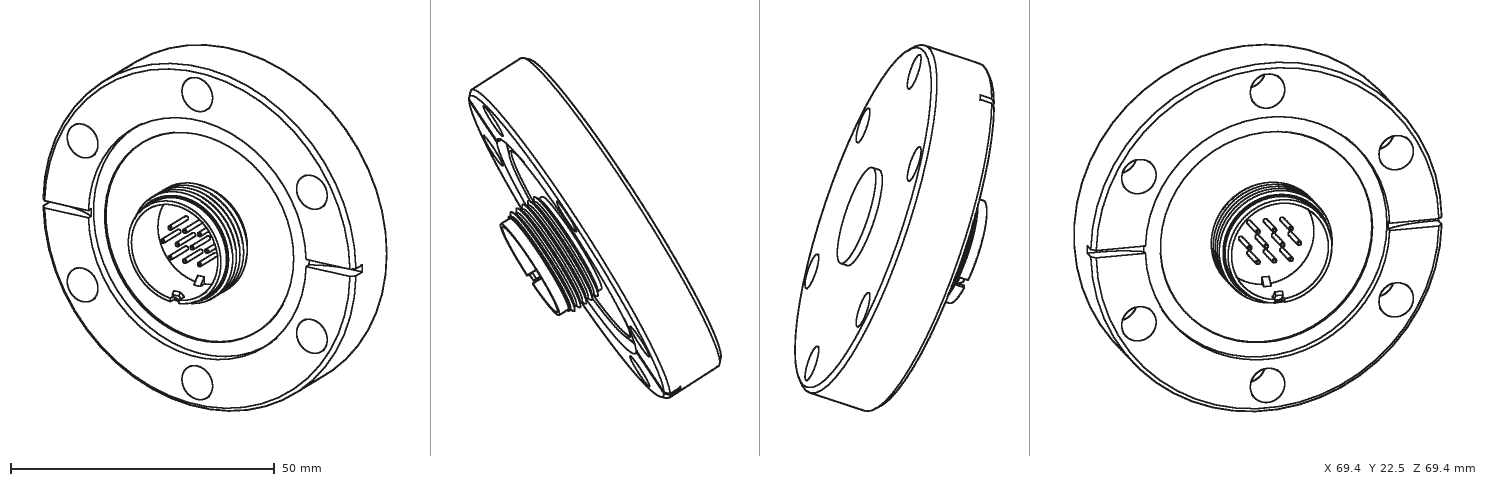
import cadquery as cq
import math

flange_radius = 34.7
flange_thickness = 12.9
edge_chamfer = 0.8

boss_radius = 9.6
boss_height = 1.3

recess_radius = 24.1
knife_radius = 20.95
knife_depth = 0.7
knife_angle = 20.0
center_depth = 1.2

bolt_count = 6
bolt_circle_radius = 29.3
bolt_hole_radius = 3.4

groove_width = 1.45
groove_depth = 3.2
groove_flat_length = 2.65
groove_inner_depth = 1.05
groove_overrun = 0.2

shell_length = 8.25
shell_radius = 10.25
sleeve_radius = 10.4
sleeve_length = 6.25
lip_radius = 10.6
lip_width = 0.2
bore_radius = 9.6
bore_depth = 9.65

ring_count = 5
ring_pitch = 1.3
ring_first = 0.15
ring_tip_radius = 11.15
ring_base_width = 0.8

pin_radius = 0.4
pin_length = 6.1
pin_pitch = 3.25
pin_row_spacing = 3.05
pins_per_row = (3, 4, 3)
pin_tip_chamfer = 0.15

key_width = 1.45
ramp_size = 1.45
tab_lean = 45.0
tab_length = 2.8
tab_thickness = 0.8
tab_tip_y = -7.9
tab_tip_z = -8.9
notch_width = 1.9
notch_length = 1.95


def revolve_profile(points):
    """Turn a closed outline of (radius, y) points about the Y axis."""
    return cq.Workplane("XY").polyline(points).close().revolve(360, (0, 0), (0, 1))


def cylinder(radius, y_start, y_end):
    """Cylinder on the Y axis between two Y positions."""
    return cq.Workplane("XZ", origin=(0, y_start, 0)).circle(radius).extrude(y_start - y_end)


def make_flange():
    """Flange disc with chamfered rims, rear boss and the recessed knife edge."""
    root_depth = knife_depth + (recess_radius - knife_radius) * math.tan(math.radians(knife_angle))
    chamfer_radius = flange_radius - edge_chamfer
    back = flange_thickness
    return revolve_profile([
        (0, center_depth),
        (knife_radius, center_depth),
        (knife_radius, knife_depth),
        (recess_radius, root_depth),
        (recess_radius, 0),
        (chamfer_radius, 0),
        (flange_radius, edge_chamfer),
        (flange_radius, back - edge_chamfer),
        (chamfer_radius, back),
        (boss_radius, back),
        (boss_radius, back + boss_height),
        (0, back + boss_height),
    ])


def make_bolt_holes():
    """Evenly spaced through holes, the first at the top of the flange."""
    holes = cq.Workplane("XZ").polarArray(bolt_circle_radius, 90, 360, bolt_count)
    return holes.circle(bolt_hole_radius).extrude(-flange_thickness)


def make_groove():
    """Leak-check groove on the +X side: a flat floor that curves up toward the recess."""
    flat_end = flange_radius - groove_flat_length
    inner_end = recess_radius - groove_overrun
    run = flat_end - recess_radius
    rise = groove_depth - groove_inner_depth
    arc_radius = (run**2 + rise**2) / (2 * rise)
    half_angle = math.atan2(rise, run)
    arc_middle = (
        flat_end - arc_radius * math.sin(half_angle),
        groove_depth - arc_radius * (1 - math.cos(half_angle)),
    )
    outline = (
        cq.Workplane("XY")
        .moveTo(inner_end, 0)
        .lineTo(flange_radius, 0)
        .lineTo(flange_radius, groove_depth)
        .lineTo(flat_end, groove_depth)
        .threePointArc(arc_middle, (recess_radius, groove_inner_depth))
        .lineTo(inner_end, groove_inner_depth)
        .close()
    )
    return outline.extrude(groove_width / 2, both=True)


def make_shell():
    """Solid connector shell with sleeve, lip and thread rings, before it is bored."""
    shell = cylinder(shell_radius, center_depth, -shell_length)
    shell = shell.union(cylinder(sleeve_radius, center_depth, -sleeve_length))
    shell = shell.union(cylinder(lip_radius, lip_width - sleeve_length, -sleeve_length))
    half_base = ring_base_width / 2
    for index in range(ring_count):
        y = -(ring_first + index * ring_pitch)
        ring = revolve_profile([
            (bore_radius, y + half_base),
            (sleeve_radius, y + half_base),
            (ring_tip_radius, y),
            (sleeve_radius, y - half_base),
            (bore_radius, y - half_base),
        ])
        shell = shell.union(ring)
    return shell


def make_pins(floor):
    """Rows of chamfered contact pins standing on the bore floor."""
    pin = cylinder(pin_radius, floor, floor - pin_length).faces("<Y").chamfer(pin_tip_chamfer)
    pins = cq.Workplane("XY")
    middle_row = (len(pins_per_row) - 1) / 2
    for row, count in enumerate(pins_per_row):
        z = (row - middle_row) * pin_row_spacing
        for column in range(count):
            x = (column - (count - 1) / 2) * pin_pitch
            pins = pins.union(pin.translate((x, 0, z)))
    return pins


def make_ramp(floor):
    """Triangular key in the corner between the bore floor and the bottom of the bore."""
    outline = cq.Workplane("YZ").polyline([
        (floor, -bore_radius + ramp_size),
        (floor - ramp_size, -bore_radius),
        (floor - ramp_size, -shell_radius),
        (floor, -shell_radius),
    ])
    ramp = outline.close().extrude(key_width / 2, both=True)
    return ramp.intersect(cylinder(shell_radius, floor, -shell_length))


def make_notch():
    """Notch cut outward through the rim at the bottom of the shell."""
    notch = cq.Workplane("XY").box(notch_width, notch_length, sleeve_radius, centered=(True, False, False))
    return notch.translate((0, -shell_length, -sleeve_radius))


def make_tab():
    """Leaning tab whose front lower corner is its tip, trimmed flush with the shell."""
    tab = cq.Workplane("XY").box(key_width, tab_thickness, tab_length, centered=(True, False, False))
    tab = tab.translate((0, 0, -tab_length))
    tab = tab.rotate((0, 0, 0), (1, 0, 0), tab_lean)
    tab = tab.translate((0, tab_tip_y, tab_tip_z))
    return tab.intersect(cylinder(shell_radius, center_depth, -shell_length))


bore_floor = bore_depth - shell_length
groove = make_groove()
result = (
    make_flange()
    .cut(make_bolt_holes())
    .cut(groove)
    .cut(groove.mirror("YZ"))
    .union(make_shell())
    .cut(cylinder(bore_radius, bore_floor, -shell_length))
    .cut(make_notch())
    .union(make_tab())
    .union(make_ramp(bore_floor))
    .union(make_pins(bore_floor))
)